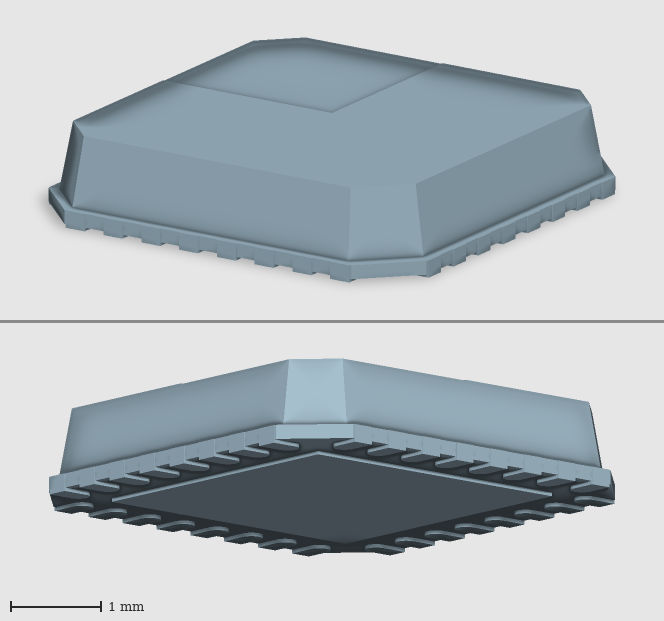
import cadquery as cq
import math

TOTAL_HEIGHT = 1.0
BASE_SIZE = 5.0
BASE_TOP = 0.2
BASE_CHAMFER = 0.6

SIDES = 4
PADS_PER_SIDE = 8
PAD_PITCH = 0.5
PAD_WIDTH = 0.25
PAD_LENGTH = 0.44
PAD_PROTRUSION = 0.01
STANDOFF = 0.04

THERMAL_PAD_SIZE = 3.45

COVER_SIZE = 4.75
COVER_CHAMFER = 0.5
KEY_CHAMFER = 0.6
COVER_TAPER = 10.0
COVER_HEIGHT = TOTAL_HEIGHT - BASE_TOP

MARK_DEPTH = 0.01


def clipped_square(plane, size, chamfer, key_chamfer):
    """Square with clipped corners; the (+X, -Y) corner takes key_chamfer."""
    half = size / 2
    inner = half - chamfer
    key_inner = half - key_chamfer
    return plane.polyline([
        (-inner, -half),
        (key_inner, -half),
        (half, -key_inner),
        (half, inner),
        (inner, half),
        (-inner, half),
        (-half, inner),
        (-half, -inner),
    ]).close()


def make_base():
    plane = cq.Workplane("XY").workplane(offset=STANDOFF)
    outline = clipped_square(plane, BASE_SIZE, BASE_CHAMFER, BASE_CHAMFER)
    return outline.extrude(BASE_TOP - STANDOFF)


def make_cover():
    plane = cq.Workplane("XY").workplane(offset=BASE_TOP)
    outline = clipped_square(plane, COVER_SIZE, COVER_CHAMFER, KEY_CHAMFER)
    return outline.extrude(COVER_HEIGHT, taper=COVER_TAPER)


def make_index_mark():
    top_half = COVER_SIZE / 2 - COVER_HEIGHT * math.tan(math.radians(COVER_TAPER))
    reach = top_half + MARK_DEPTH
    return (
        cq.Workplane("XY")
        .workplane(offset=TOTAL_HEIGHT - MARK_DEPTH)
        .center(-reach / 2, reach / 2)
        .rect(reach, reach)
        .extrude(MARK_DEPTH)
    )


def make_pad(offset):
    """Terminal on the -Y side at X = offset, rounded at its inner end."""
    radius = PAD_WIDTH / 2
    outer_y = -BASE_SIZE / 2 - PAD_PROTRUSION
    inner_y = outer_y + PAD_LENGTH
    arc_start_y = inner_y - radius
    return (
        cq.Workplane("XY")
        .moveTo(offset - radius, outer_y)
        .lineTo(offset + radius, outer_y)
        .lineTo(offset + radius, arc_start_y)
        .threePointArc((offset, inner_y), (offset - radius, arc_start_y))
        .close()
        .extrude(BASE_TOP)
    )


def make_pads():
    first_offset = -PAD_PITCH * (PADS_PER_SIDE - 1) / 2
    pads = cq.Workplane("XY")
    for side in range(SIDES):
        for index in range(PADS_PER_SIDE):
            pad = make_pad(first_offset + index * PAD_PITCH)
            pads = pads.add(pad.rotate((0, 0, 0), (0, 0, 1), side * 360 / SIDES))
    return pads.combine()


def make_thermal_pad():
    return cq.Workplane("XY").rect(THERMAL_PAD_SIZE, THERMAL_PAD_SIZE).extrude(STANDOFF)


result = (
    make_base()
    .union(make_cover())
    .union(make_pads())
    .union(make_thermal_pad())
    .cut(make_index_mark())
)